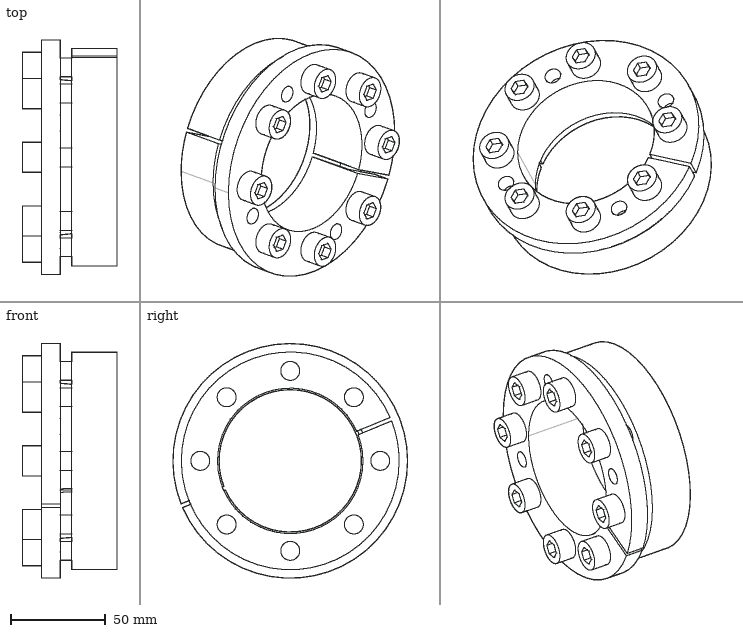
import cadquery as cq
import math


flange_front = 0.0
flange_thickness = 10.0
ring_gap = 6.0
ring_length = 24.0
flange_back = flange_front + flange_thickness
ring_front = flange_back + ring_gap
ring_back = ring_front + ring_length
sleeve_recess = 6.0
sleeve_end = ring_back - sleeve_recess

flange_diameter = 124.0
ring_diameter = 115.0
bore_diameter = 75.0
cone_front_diameter = 81.0
cone_half_angle = 5.0

slit_width = 2.0
inner_slit_angle = 202.5
outer_slit_angle = inner_slit_angle - 180.0

pitch_radius = 47.5
screw_count = 8
screw_diameter = 10.0
shank_length = ring_back - flange_front
head_diameter = 16.0
head_height = 10.0
hex_across_flats = 8.0
hex_depth = 5.0
jacking_count = 4
jacking_diameter = 8.5
jacking_start_angle = 67.5


def cone_radius(x):
    """Radius of the shared cone, which narrows toward +X."""
    return cone_front_diameter / 2 - (x - ring_front) * math.tan(math.radians(cone_half_angle))


def pitch_points(count, start_angle):
    """Evenly spaced (y, z) points on the pitch circle."""
    angles = [math.radians(start_angle + i * 360.0 / count) for i in range(count)]
    return [(pitch_radius * math.cos(a), pitch_radius * math.sin(a)) for a in angles]


def plane_at(x):
    """YZ plane at a position along the axis."""
    return cq.Workplane("YZ", origin=(x, 0, 0))


def revolve_about_axis(profile):
    """Revolve a closed (x, radius) outline about the X axis."""
    return cq.Workplane("XY").polyline(profile).close().revolve(360, (0, 0, 0), (1, 0, 0))


def radial_slit(angle):
    """Cutter that opens a ring on one side, at an angle from +Y toward +Z."""
    slit = cq.Workplane("XY").box(
        ring_back - flange_front, flange_diameter, slit_width, centered=(False, False, True)
    )
    return slit.translate((flange_front, 0, 0)).rotate((0, 0, 0), (1, 0, 0), angle)


screw_points = pitch_points(screw_count, 0.0)
screw_holes = (
    plane_at(flange_front)
    .pushPoints(screw_points)
    .circle(screw_diameter / 2)
    .extrude(shank_length)
)


def make_inner_ring():
    """Split flange with a tapered sleeve."""
    bore_radius = bore_diameter / 2
    flange_radius = flange_diameter / 2
    ring = revolve_about_axis([
        (flange_front, bore_radius),
        (flange_front, flange_radius),
        (flange_back, flange_radius),
        (flange_back, cone_radius(flange_back)),
        (sleeve_end, cone_radius(sleeve_end)),
        (sleeve_end, bore_radius),
    ])
    jacking_holes = (
        plane_at(flange_front)
        .pushPoints(pitch_points(jacking_count, jacking_start_angle))
        .circle(jacking_diameter / 2)
        .extrude(flange_thickness)
    )
    return ring.cut(screw_holes).cut(jacking_holes).cut(radial_slit(inner_slit_angle))


def make_outer_ring():
    """Split ring whose tapered bore sits on the sleeve."""
    ring_radius = ring_diameter / 2
    ring = revolve_about_axis([
        (ring_front, cone_radius(ring_front)),
        (ring_front, ring_radius),
        (ring_back, ring_radius),
        (ring_back, cone_radius(ring_back)),
    ])
    return ring.cut(screw_holes).cut(radial_slit(outer_slit_angle))


def make_screw(y, z):
    """Socket head screw, flush with the back of the outer ring."""
    head_front = flange_front - head_height
    hex_across_corners = hex_across_flats / math.cos(math.radians(30))
    head = plane_at(head_front).circle(head_diameter / 2).extrude(head_height)
    shank = plane_at(flange_front).circle(screw_diameter / 2).extrude(shank_length)
    socket = plane_at(head_front).polygon(6, hex_across_corners).extrude(hex_depth)
    return head.union(shank).cut(socket).translate((0, y, z))


inner_ring = make_inner_ring()
outer_ring = make_outer_ring()
screws = [make_screw(y, z) for y, z in screw_points]

result = cq.Compound.makeCompound(
    [inner_ring.val(), outer_ring.val(), *[screw.val() for screw in screws]]
)